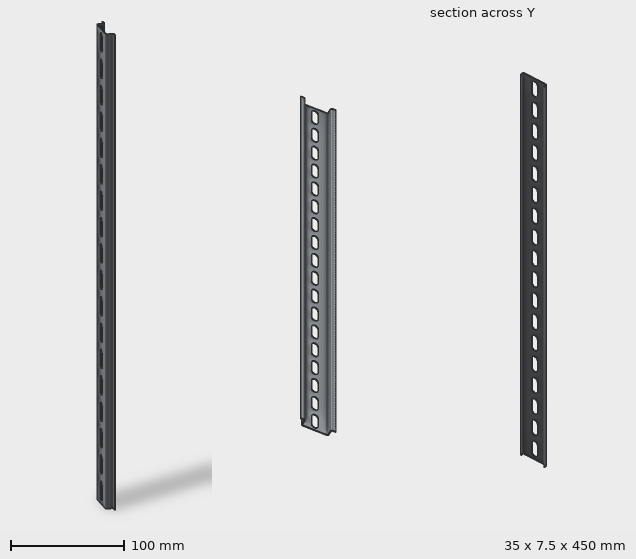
import cadquery as cq

length = 450.0
overall_width = 35.0
depth = 7.5
web_width = 27.0
thickness = 1.0
inner_bend_radius = 0.8
slot_count = 18
slot_length = 18.0
slot_width = 6.5

outer_bend_radius = inner_bend_radius + thickness
slot_pitch = length / slot_count
half_width = overall_width / 2
half_web = web_width / 2
half_channel = half_web - thickness
front_y = -depth / 2
back_y = depth / 2


def make_rail():
    """Extrude the hat section with sharp corners, then round its bends."""
    right_half = [
        (half_web, front_y),
        (half_web, back_y - thickness),
        (half_width, back_y - thickness),
        (half_width, back_y),
        (half_channel, back_y),
        (half_channel, front_y + thickness),
    ]
    left_half = [(-x, y) for x, y in reversed(right_half)]
    rail = (
        cq.Workplane("XY")
        .workplane(offset=-length / 2)
        .polyline(right_half + left_half)
        .close()
        .extrude(length)
    )
    outer_bends = [(half_web, front_y), (half_channel, back_y)]
    inner_bends = [(half_web, back_y - thickness), (half_channel, front_y + thickness)]
    rail = round_bends(rail, outer_bends, outer_bend_radius)
    return round_bends(rail, inner_bends, inner_bend_radius)


def round_bends(rail, corners, radius):
    """Fillet the lengthwise edges at the given corners on both sides of the rail."""
    for x, y in corners:
        for side in (-1, 1):
            edge_middle = cq.selectors.NearestToPointSelector((side * x, y, 0))
            rail = rail.edges("|Z").edges(edge_middle).fillet(radius)
    return rail


def make_slots():
    """Row of round-ended mounting slots through the web, evenly spaced along Z."""
    first_z = (slot_pitch - length) / 2
    centers = [(0, first_z + i * slot_pitch) for i in range(slot_count)]
    return (
        cq.Workplane("XZ")
        .pushPoints(centers)
        .slot2D(slot_length, slot_width, 90)
        .extrude(depth, both=True)
    )


result = make_rail().cut(make_slots())